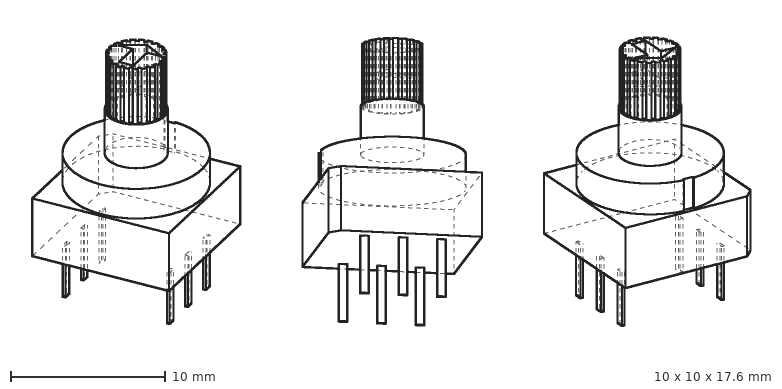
import cadquery as cq
import math

body_width = 10.0
body_height = 4.3
corner_chamfer = 0.7

disc_diameter = 9.58
disc_height = 2.2
notch_width = 0.75
notch_depth = 0.15

shaft_diameter = 4.1
shaft_height = 3.24
knurl_diameter = 3.95
knurl_height = 4.08
flute_count = 21
flute_radius = 0.13
flute_circle_radius = 1.91

arrow_tip_y = 1.44
arrow_head_y = 0.52
arrow_tail_y = -1.41
arrow_head_half_width = 1.58
arrow_stem_half_width = 0.52
arrow_depth = 2.0

pin_pitch = 2.54
pin_row_spacing = 3 * pin_pitch
pin_rows = 2
pins_per_row = 3
pin_thickness = 0.2
pin_width = 0.55
pin_length = 3.82

disc_top = body_height + disc_height
shaft_top = disc_top + shaft_height
knurl_top = shaft_top + knurl_height


def make_body():
    """Square housing with one chamfered vertical corner at (-X, +Y)."""
    body = cq.Workplane("XY").rect(body_width, body_width).extrude(body_height)
    return body.edges("|Z").edges("<X").edges(">Y").chamfer(corner_chamfer)


def make_disc():
    """Round dial disc with the index notch cut through its rim."""
    disc = cq.Workplane("XY", origin=(0, 0, body_height)).circle(disc_diameter / 2).extrude(disc_height)
    notch = (
        cq.Workplane("XY", origin=(0, disc_diameter / 2, body_height))
        .rect(notch_width, 2 * notch_depth)
        .extrude(disc_height)
    )
    return disc.cut(notch)


def make_shaft():
    """Plain shaft, followed by the slightly thinner fluted end."""
    shaft = cq.Workplane("XY", origin=(0, 0, disc_top)).circle(shaft_diameter / 2).extrude(shaft_height)
    knurl = cq.Workplane("XY", origin=(0, 0, shaft_top)).circle(knurl_diameter / 2).extrude(knurl_height)
    flute_centres = []
    for index in range(flute_count):
        angle = -math.pi / 2 + 2 * math.pi * index / flute_count
        flute_centres.append((flute_circle_radius * math.cos(angle), flute_circle_radius * math.sin(angle)))
    flutes = (
        cq.Workplane("XY", origin=(0, 0, shaft_top))
        .pushPoints(flute_centres)
        .circle(flute_radius)
        .extrude(knurl_height)
    )
    return shaft.union(knurl.cut(flutes))


def make_arrow_recess():
    """Cutting body for the arrow recess, open at the shaft end."""
    return (
        cq.Workplane("XY", origin=(0, 0, knurl_top))
        .moveTo(0, arrow_tip_y)
        .lineTo(arrow_head_half_width, arrow_head_y)
        .lineTo(arrow_stem_half_width, arrow_head_y)
        .lineTo(arrow_stem_half_width, arrow_tail_y)
        .lineTo(-arrow_stem_half_width, arrow_tail_y)
        .lineTo(-arrow_stem_half_width, arrow_head_y)
        .lineTo(-arrow_head_half_width, arrow_head_y)
        .close()
        .extrude(-arrow_depth)
    )


def make_pins():
    """Flat terminal pins hanging below the housing."""
    return (
        cq.Workplane("XY")
        .rarray(pin_row_spacing, pin_pitch, pin_rows, pins_per_row)
        .rect(pin_thickness, pin_width)
        .extrude(-pin_length)
    )


result = make_body().union(make_disc()).union(make_shaft()).union(make_pins()).cut(make_arrow_recess())